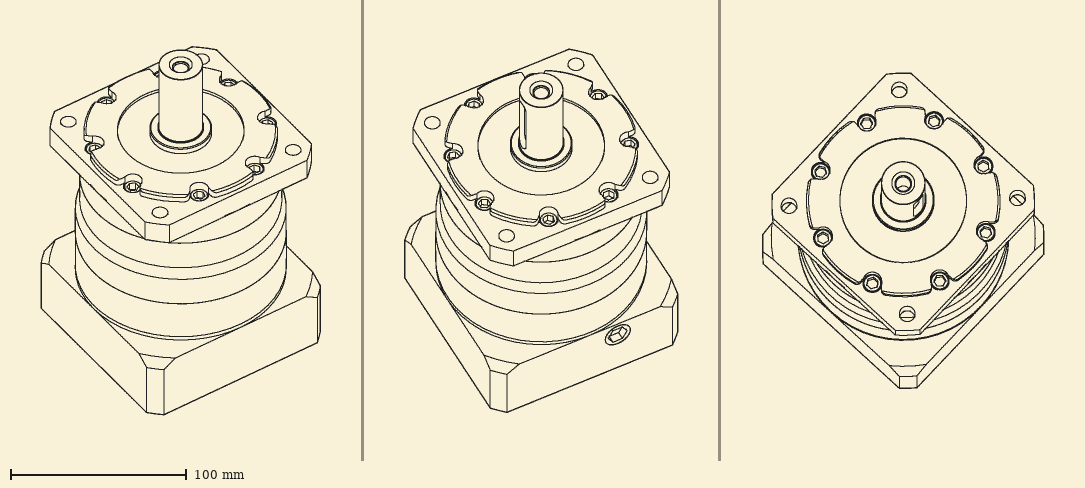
import cadquery as cq
import math

BASE_SIDE = 120.0
BASE_HEIGHT = 40.0
BASE_CORNER_RADIUS = 80.0
BASE_BEVEL_HEIGHT = 5.0
BASE_BEVEL_INSET = 5.0
BASE_BOSS_TOP = 42.5
BODY_RADIUS = BASE_SIDE / 2

PLUG_Y = -18.0
PLUG_Z = 29.9
PLUG_DIAMETER = 16.0
PLUG_SETBACK = 0.2
PLUG_SOCKET_FLATS = 10.5
PLUG_SOCKET_DEPTH = 4.8

INPUT_RING_TOP = 68.1
CONE_BOTTOM = 87.1
CONE_TOP = 93.9
GEAR_RING_TOP = 112.9

FLANGE_SIDE = 115.0
NECK_RADIUS = FLANGE_SIDE / 2
FLANGE_BOTTOM = 129.0
FLANGE_TOP = 142.8
FLANGE_CORNER_RADIUS = 74.6
MOUNT_HOLE_OFFSET = 46.0
MOUNT_HOLE_DIAMETER = 9.0

PILOT_RADIUS = 55.0
PILOT_TOP = 147.3
PILOT_CHAMFER = 1.2
LOBE_COUNT = 8
LOBE_HALF_WIDTH = 14.3
LOBE_CORNER_FILLET = 3.0

SCREW_CIRCLE_RADIUS = 50.0
SCREW_POCKET_RADIUS = 5.3
SCREW_POCKET_DEPTH = 2.0
SCREW_HEAD_RADIUS = 4.8
SCREW_HEAD_DROP = 0.4
SCREW_SOCKET_FLATS = 6.0
SCREW_SOCKET_DEPTH = 5.0
SCREW_SOCKET_ANGLE = 7.5

RECESS_RADIUS = 36.0
RECESS_DEPTH = 2.0
COLLAR_RADIUS = 17.6
COLLAR_TOP = 149.3
COLLAR_CHAMFER = 0.5

SHAFT_RADIUS = 12.5
SHAFT_TOP = 198.0
SHAFT_CHAMFER = 0.2
SHOULDER_RADIUS = 13.0
SHOULDER_TOP = 149.9
KEYWAY_WIDTH = 8.0
KEYWAY_DEPTH = 4.0
KEYWAY_LENGTH = 40.0
KEYWAY_TOP_GAP = 5.0
CENTRE_MOUTH_RADIUS = 6.5
CENTRE_BORE_RADIUS = 4.8
CENTRE_BORE_DEPTH = 2.4
CENTRE_DRILL_RADIUS = 4.2
CENTRE_DRILL_DEPTH = 29.7


def revolve(points):
    """Turn (radius, z) points about the Z axis, starting on the -X side."""
    outline = [(-radius, z) for radius, z in points]
    return cq.Workplane("XZ").polyline(outline).close().revolve(360, (0, 0), (0, 1))


def cylinder(radius, bottom, top):
    return cq.Workplane("XY").workplane(offset=bottom).circle(radius).extrude(top - bottom)


def square_block(side, bottom, top):
    return cq.Workplane("XY").workplane(offset=bottom).rect(side, side).extrude(top - bottom)


def hexagon_across_corners(flats):
    return flats / math.cos(math.pi / 6)


def make_plug_cut():
    """Shallow round recess down to the plug face, with a hex socket beyond it."""
    face = cq.Workplane("YZ", origin=(-BASE_SIDE / 2, PLUG_Y, PLUG_Z))
    recess = face.circle(PLUG_DIAMETER / 2).extrude(PLUG_SETBACK)
    socket = (
        face.polygon(6, hexagon_across_corners(PLUG_SOCKET_FLATS))
        .extrude(PLUG_SETBACK + PLUG_SOCKET_DEPTH)
    )
    return recess.union(socket)


def make_adapter():
    block = square_block(BASE_SIDE, 0, BASE_HEIGHT)
    turned_envelope = revolve([
        (0, 0),
        (BASE_CORNER_RADIUS, 0),
        (BASE_CORNER_RADIUS, BASE_HEIGHT - BASE_BEVEL_HEIGHT),
        (BASE_CORNER_RADIUS - BASE_BEVEL_INSET, BASE_HEIGHT),
        (0, BASE_HEIGHT),
    ])
    boss = cylinder(BODY_RADIUS, BASE_HEIGHT, BASE_BOSS_TOP)
    return block.intersect(turned_envelope).union(boss).cut(make_plug_cut())


def make_input_ring():
    return cylinder(BODY_RADIUS, BASE_BOSS_TOP, INPUT_RING_TOP)


def make_gear_ring():
    return revolve([
        (0, INPUT_RING_TOP),
        (BODY_RADIUS, INPUT_RING_TOP),
        (BODY_RADIUS, CONE_BOTTOM),
        (NECK_RADIUS, CONE_TOP),
        (NECK_RADIUS, GEAR_RING_TOP),
        (0, GEAR_RING_TOP),
    ])


def make_flange():
    plate = square_block(FLANGE_SIDE, FLANGE_BOTTOM, FLANGE_TOP)
    plate = plate.intersect(cylinder(FLANGE_CORNER_RADIUS, FLANGE_BOTTOM, FLANGE_TOP))
    hole_spacing = 2 * MOUNT_HOLE_OFFSET
    return (
        plate.faces(">Z").workplane(origin=(0, 0, FLANGE_TOP))
        .rect(hole_spacing, hole_spacing, forConstruction=True)
        .vertices()
        .hole(MOUNT_HOLE_DIAMETER)
    )


def screw_angles():
    step = 360 / LOBE_COUNT
    return [step * (index + 0.5) for index in range(LOBE_COUNT)]


def around_axis(shape, angle):
    return shape.rotate((0, 0, 0), (0, 0, 1), angle)


def make_lobe_gap():
    """Flared gap on +X whose sides are parallel to the centre lines of the lobes beside it."""
    half_angle = math.pi / LOBE_COUNT
    apex = LOBE_HALF_WIDTH / math.sin(half_angle)
    outer_x = PILOT_RADIUS + SCREW_POCKET_RADIUS
    inner_y = (SCREW_CIRCLE_RADIUS - apex) * math.tan(half_angle)
    outer_y = (outer_x - apex) * math.tan(half_angle)
    return (
        cq.Workplane("XY").workplane(offset=FLANGE_TOP)
        .polyline([
            (SCREW_CIRCLE_RADIUS, -inner_y),
            (outer_x, -outer_y),
            (outer_x, outer_y),
            (SCREW_CIRCLE_RADIUS, inner_y),
        ])
        .close()
        .extrude(PILOT_TOP - FLANGE_TOP)
    )


def make_pilot():
    pilot = cylinder(PILOT_RADIUS, FLANGE_TOP, PILOT_TOP)
    gap = make_lobe_gap()
    for angle in screw_angles():
        pilot = pilot.cut(around_axis(gap, angle))
    convex_corners = pilot.edges("|Z").filter(
        lambda edge: math.hypot(edge.Center().x, edge.Center().y) > PILOT_RADIUS - LOBE_CORNER_FILLET
    )
    pilot = convex_corners.fillet(LOBE_CORNER_FILLET)
    chamfered_envelope = revolve([
        (0, FLANGE_TOP),
        (PILOT_RADIUS, FLANGE_TOP),
        (PILOT_RADIUS, PILOT_TOP - PILOT_CHAMFER),
        (PILOT_RADIUS - PILOT_CHAMFER, PILOT_TOP),
        (0, PILOT_TOP),
    ])
    return pilot.intersect(chamfered_envelope)


def make_screw_pocket():
    pocket_floor = FLANGE_TOP - SCREW_POCKET_DEPTH
    return cylinder(SCREW_POCKET_RADIUS, pocket_floor, PILOT_TOP).translate((SCREW_CIRCLE_RADIUS, 0, 0))


def make_screw_head():
    head_top = FLANGE_TOP - SCREW_HEAD_DROP
    head = cylinder(SCREW_HEAD_RADIUS, FLANGE_TOP - SCREW_POCKET_DEPTH, head_top)
    return head.translate((SCREW_CIRCLE_RADIUS, 0, 0))


def make_screw_socket():
    head_top = FLANGE_TOP - SCREW_HEAD_DROP
    return (
        cq.Workplane("XY").workplane(offset=head_top - SCREW_SOCKET_DEPTH)
        .polygon(6, hexagon_across_corners(SCREW_SOCKET_FLATS))
        .extrude(SCREW_SOCKET_DEPTH)
        .rotate((0, 0, 0), (0, 0, 1), SCREW_SOCKET_ANGLE)
        .translate((SCREW_CIRCLE_RADIUS, 0, 0))
    )


def add_screws(body):
    pocket = make_screw_pocket()
    head = make_screw_head()
    socket = make_screw_socket()
    for angle in screw_angles():
        body = body.cut(around_axis(pocket, angle))
        body = body.union(around_axis(head, angle))
        body = body.cut(around_axis(socket, angle))
    return body


def make_collar():
    recess_floor = PILOT_TOP - RECESS_DEPTH
    return revolve([
        (0, recess_floor),
        (COLLAR_RADIUS, recess_floor),
        (COLLAR_RADIUS, COLLAR_TOP - COLLAR_CHAMFER),
        (COLLAR_RADIUS - COLLAR_CHAMFER, COLLAR_TOP),
        (0, COLLAR_TOP),
    ])


def make_keyway():
    middle_z = SHAFT_TOP - KEYWAY_TOP_GAP - KEYWAY_LENGTH / 2
    floor = cq.Workplane("XZ", origin=(0, SHAFT_RADIUS - KEYWAY_DEPTH, middle_z))
    return floor.slot2D(KEYWAY_LENGTH, KEYWAY_WIDTH, 90).extrude(-2 * KEYWAY_DEPTH)


def make_centre_hole():
    mouth_depth = CENTRE_MOUTH_RADIUS - CENTRE_BORE_RADIUS
    step_depth = CENTRE_BORE_RADIUS - CENTRE_DRILL_RADIUS
    drill_bottom = SHAFT_TOP - CENTRE_DRILL_DEPTH
    return revolve([
        (0, SHAFT_TOP),
        (CENTRE_MOUTH_RADIUS, SHAFT_TOP),
        (CENTRE_BORE_RADIUS, SHAFT_TOP - mouth_depth),
        (CENTRE_BORE_RADIUS, SHAFT_TOP - CENTRE_BORE_DEPTH),
        (CENTRE_DRILL_RADIUS, SHAFT_TOP - CENTRE_BORE_DEPTH - step_depth),
        (CENTRE_DRILL_RADIUS, drill_bottom),
        (0, drill_bottom - CENTRE_DRILL_RADIUS / math.sqrt(3)),
    ])


def make_shaft():
    shaft = revolve([
        (0, COLLAR_TOP),
        (SHOULDER_RADIUS, COLLAR_TOP),
        (SHOULDER_RADIUS, SHOULDER_TOP),
        (SHAFT_RADIUS, SHOULDER_TOP),
        (SHAFT_RADIUS, SHAFT_TOP - SHAFT_CHAMFER),
        (SHAFT_RADIUS - SHAFT_CHAMFER, SHAFT_TOP),
        (0, SHAFT_TOP),
    ])
    return shaft.cut(make_keyway()).cut(make_centre_hole())


def make_output_body():
    neck = cylinder(NECK_RADIUS, GEAR_RING_TOP, FLANGE_BOTTOM)
    body = add_screws(neck.union(make_flange()).union(make_pilot()))
    seal_recess = cylinder(RECESS_RADIUS, PILOT_TOP - RECESS_DEPTH, PILOT_TOP)
    return body.cut(seal_recess).union(make_collar()).union(make_shaft())


adapter = make_adapter()
input_ring = make_input_ring()
gear_ring = make_gear_ring()
output_body = make_output_body()

result = cq.Compound.makeCompound([
    adapter.val(),
    input_ring.val(),
    gear_ring.val(),
    output_body.val(),
])